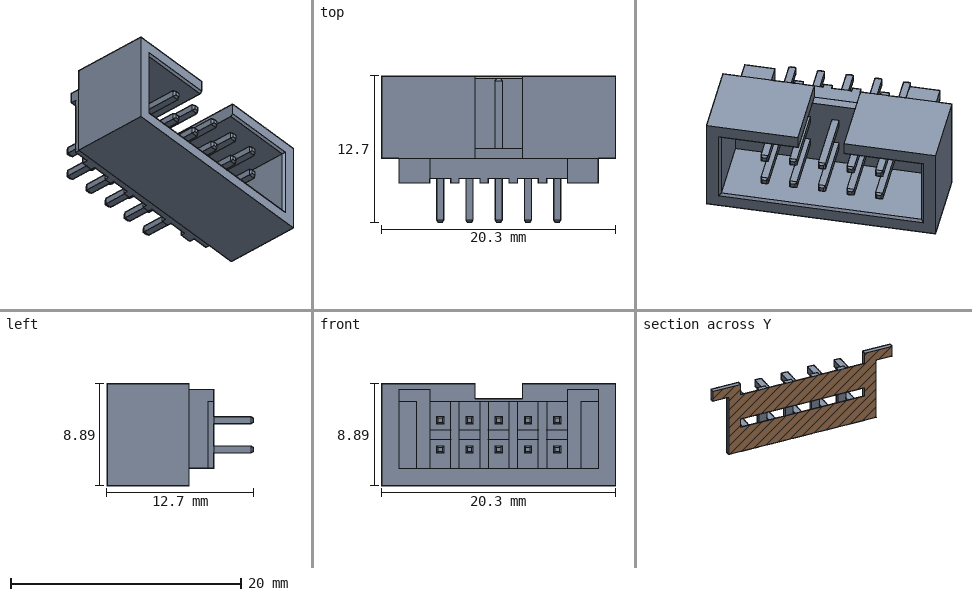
import cadquery as cq

PITCH = 2.54
COLUMNS = 5
ROWS = 2

SHROUD_LENGTH = 20.32
SHROUD_DEPTH = 7.13
SHROUD_HEIGHT = 8.89
WALL = 1.29
FLOOR = 0.83
MOUTH_CHAMFER = 0.2
KEY_WIDTH = 4.1

BASE_DEPTH = 2.15
BASE_LENGTH = 17.32
BASE_HEIGHT = 5.82
RIB_WIDTH = 0.75
RIB_DEPTH = 0.38
GROOVE_HEIGHT = 0.8

POST_WIDTH = 2.69
POST_RISE = 1.04
POST_RECESS_WIDTH = 1.53
POST_RECESS_DEPTH = 0.51

OVERALL_DEPTH = 12.7
PIN_SIZE = 0.635
PIN_TIP_SIZE = 0.38
PIN_TIP_LENGTH = 0.22
PIN_MOUTH_GAP = 0.2

base_bottom = -BASE_HEIGHT / 2
base_inner_length = BASE_LENGTH - 2 * POST_WIDTH
tail_end = SHROUD_DEPTH - OVERALL_DEPTH
contact_end = SHROUD_DEPTH - PIN_MOUTH_GAP


def block(x_range, y_range, z_range):
    """Axis-aligned box from its (low, high) limits on each axis."""
    lows, highs = zip(x_range, y_range, z_range)
    sizes = [high - low for low, high in zip(lows, highs)]
    return cq.Workplane("XY").box(*sizes, centered=False).translate(lows)


def centred(size):
    """Limits of a length centred on zero."""
    return (-size / 2, size / 2)


def centred_positions(count):
    """Positions of `count` items at the pin pitch, centred on zero."""
    return [(index - (count - 1) / 2) * PITCH for index in range(count)]


def make_shroud():
    """Open box with a chamfered mouth and a polarising slot through the top wall."""
    cavity_length = SHROUD_LENGTH - 2 * WALL
    cavity_height = SHROUD_HEIGHT - 2 * WALL
    shroud = block(centred(SHROUD_LENGTH), (0, SHROUD_DEPTH), centred(SHROUD_HEIGHT))
    cavity = block(centred(cavity_length), (FLOOR, SHROUD_DEPTH), centred(cavity_height))
    mouth = (
        cq.Workplane("XZ", origin=(0, SHROUD_DEPTH - MOUTH_CHAMFER, 0))
        .rect(cavity_length, cavity_height)
        .workplane(offset=-MOUTH_CHAMFER)
        .rect(cavity_length + 2 * MOUTH_CHAMFER, cavity_height + 2 * MOUTH_CHAMFER)
        .loft(ruled=True)
    )
    slot_top = SHROUD_HEIGHT / 2
    key_slot = block(centred(KEY_WIDTH), (0, SHROUD_DEPTH), (slot_top - WALL, slot_top))
    return shroud.cut(cavity).cut(mouth).cut(key_slot)


def make_base():
    """Plate behind the shroud, grooved between the rows, with ribs between columns across its back."""
    plate_back = RIB_DEPTH - BASE_DEPTH
    base = block(centred(base_inner_length), (plate_back, 0), centred(BASE_HEIGHT))
    groove = block(centred(base_inner_length), (plate_back, 0), centred(GROOVE_HEIGHT))
    base = base.cut(groove)
    for x in centred_positions(COLUMNS - 1):
        rib_sides = (x - RIB_WIDTH / 2, x + RIB_WIDTH / 2)
        rib = block(rib_sides, (-BASE_DEPTH, plate_back), centred(BASE_HEIGHT))
        base = base.union(rib)
    return base


def make_left_post():
    """Left end post, with its outer back corner stepped in below the cap."""
    outer = -BASE_LENGTH / 2
    cap_bottom = BASE_HEIGHT / 2
    post = block(
        (outer, outer + POST_WIDTH),
        (-BASE_DEPTH, 0),
        (base_bottom, cap_bottom + POST_RISE),
    )
    recess = block(
        (outer, outer + POST_RECESS_WIDTH),
        (-BASE_DEPTH, -BASE_DEPTH + POST_RECESS_DEPTH),
        (base_bottom, cap_bottom),
    )
    return post.cut(recess)


def make_pin_tip(y_start, direction):
    """Tapered pin end that starts at y_start and points along +Y (1) or -Y (-1)."""
    return (
        cq.Workplane("XZ", origin=(0, y_start, 0))
        .rect(PIN_SIZE, PIN_SIZE)
        .workplane(offset=-direction * PIN_TIP_LENGTH)
        .rect(PIN_TIP_SIZE, PIN_TIP_SIZE)
        .loft(ruled=True)
    )


def make_pin():
    """Square pin along Y, tapered at both ends."""
    shank_start = tail_end + PIN_TIP_LENGTH
    shank_end = contact_end - PIN_TIP_LENGTH
    shank = block(centred(PIN_SIZE), (shank_start, shank_end), centred(PIN_SIZE))
    return shank.union(make_pin_tip(shank_start, -1)).union(make_pin_tip(shank_end, 1))


left_post = make_left_post()
result = make_shroud().union(make_base()).union(left_post).union(left_post.mirror("YZ"))

pin = make_pin()
for x in centred_positions(COLUMNS):
    for z in centred_positions(ROWS):
        result = result.union(pin.translate((x, 0, z)))